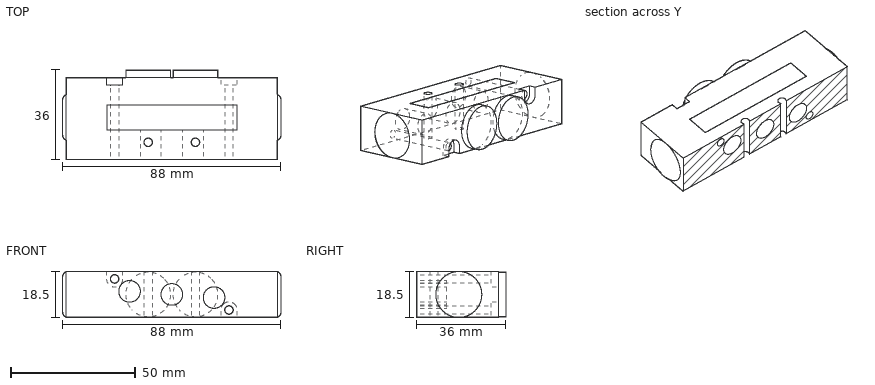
import cadquery as cq

BODY_LENGTH = 85.0
BODY_DEPTH = 33.0
BODY_HEIGHT = 18.5

CAP_DIAMETER = BODY_HEIGHT
CAP_FACE_DIAMETER = 14.0
CAP_THICKNESS = 1.5
CAP_Y = 17.0

BOSS_DIAMETER = 18.0
BOSS_HEIGHT = 3.0
BOSS_SPACING = 19.0

PORT_DIAMETER = 8.7
PORT_DEPTH = 12.0
PORT_PITCH = 17.0
PORT_DROP = 1.25

SCREW_HOLE_DIAMETER = 3.3
CROSS_HOLE_X = 23.0
CROSS_HOLE_Z = 6.25
VERTICAL_HOLE_SPACING = 19.0
VERTICAL_HOLE_Y = 7.0

SEAT_WIDTH = 6.5
SEAT_DEPTH = 3.0

LABEL_LENGTH = 52.3
LABEL_WIDTH = 10.0
LABEL_RECESS = 0.1


def make_body():
    """Block centred on X and Z, with its front face on Y = 0."""
    return cq.Workplane("XY").box(BODY_LENGTH, BODY_DEPTH, BODY_HEIGHT, centered=(True, False, True))


def cylinder_along_y(diameter, length, x, y, z):
    """Cylinder that starts at the given point and runs toward +Y."""
    direction = cq.Vector(0, 1, 0)
    return cq.Workplane(cq.Solid.makeCylinder(diameter / 2, length, cq.Vector(x, y, z), direction))


def make_end_cap():
    """Cap on the +X end, narrowing to its flat face along a rounded rim."""
    base_radius = CAP_DIAMETER / 2
    face_radius = CAP_FACE_DIAMETER / 2
    rim_width = base_radius - face_radius
    rim_radius = (rim_width**2 + CAP_THICKNESS**2) / (2 * CAP_THICKNESS)
    arc_center_x = CAP_THICKNESS - rim_radius
    middle_radius = face_radius + rim_width / 2
    middle_x = arc_center_x + (rim_radius**2 - (rim_width / 2) ** 2) ** 0.5
    return (
        cq.Workplane("XY")
        .lineTo(CAP_THICKNESS, 0)
        .lineTo(CAP_THICKNESS, face_radius)
        .threePointArc((middle_x, middle_radius), (0, base_radius))
        .close()
        .revolve(360, (0, 0, 0), (1, 0, 0))
        .translate((BODY_LENGTH / 2, CAP_Y, 0))
    )


def add_end_caps(part):
    cap = make_end_cap()
    return part.union(cap).union(cap.mirror("YZ"))


def add_bosses(part):
    for side in (-1, 1):
        x = side * BOSS_SPACING / 2
        part = part.union(cylinder_along_y(BOSS_DIAMETER, BOSS_HEIGHT, x, BODY_DEPTH, 0))
    return part


def cut_ports(part):
    for step in (-1, 0, 1):
        x = step * PORT_PITCH
        z = -step * PORT_DROP
        part = part.cut(cylinder_along_y(PORT_DIAMETER, PORT_DEPTH, x, 0, z))
    return part


def make_screw_seat():
    """U-shaped seat around the upper left cross hole, open through the top face."""
    seat_y = BODY_DEPTH - SEAT_DEPTH
    opening_height = BODY_HEIGHT / 2 - CROSS_HOLE_Z
    floor = cylinder_along_y(SEAT_WIDTH, SEAT_DEPTH, -CROSS_HOLE_X, seat_y, CROSS_HOLE_Z)
    opening = (
        cq.Workplane("XY")
        .box(SEAT_WIDTH, SEAT_DEPTH, opening_height, centered=(True, False, False))
        .translate((-CROSS_HOLE_X, seat_y, CROSS_HOLE_Z))
    )
    return floor.union(opening)


def cut_cross_holes(part):
    """Two through holes along Y with seats, half a turn apart about the Y axis."""
    hole = cylinder_along_y(SCREW_HOLE_DIAMETER, BODY_DEPTH, -CROSS_HOLE_X, 0, CROSS_HOLE_Z)
    cutter = hole.union(make_screw_seat())
    for angle in (0, 180):
        part = part.cut(cutter.rotate((0, 0, 0), (0, 1, 0), angle))
    return part


def cut_vertical_holes(part):
    half_spacing = VERTICAL_HOLE_SPACING / 2
    centers = [(-half_spacing, VERTICAL_HOLE_Y), (half_spacing, VERTICAL_HOLE_Y)]
    holes = (
        cq.Workplane("XY", origin=(0, 0, -BODY_HEIGHT / 2))
        .pushPoints(centers)
        .circle(SCREW_HOLE_DIAMETER / 2)
        .extrude(BODY_HEIGHT)
    )
    return part.cut(holes)


def cut_label_recess(part):
    recess = (
        cq.Workplane("XY", origin=(0, CAP_Y, BODY_HEIGHT / 2))
        .rect(LABEL_LENGTH, LABEL_WIDTH)
        .extrude(-LABEL_RECESS)
    )
    return part.cut(recess)


result = make_body()
result = add_end_caps(result)
result = add_bosses(result)
result = cut_ports(result)
result = cut_cross_holes(result)
result = cut_vertical_holes(result)
result = cut_label_recess(result)